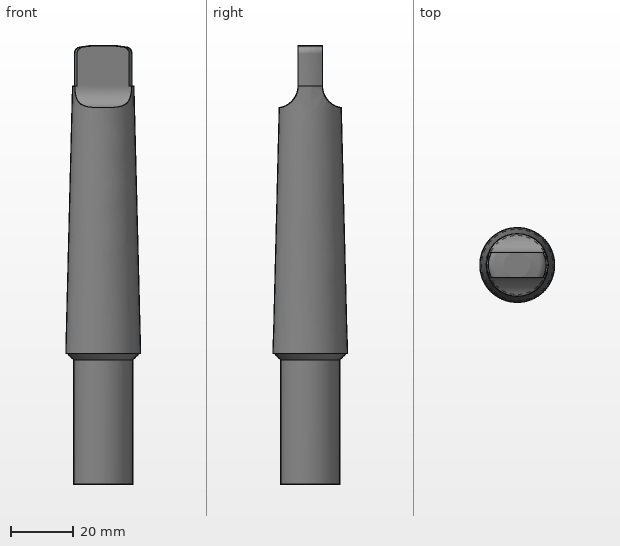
import cadquery as cq
import math

total_length = 141.0
taper_length = 99.0
tang_length = 13.0
neck_length = 2.0
taper_base_z = total_length - taper_length
neck_base_z = taper_base_z - neck_length
tang_base_z = total_length - tang_length

taper_ratio = 1 / 19.922
taper_base_radius = 24.1 / 2
taper_tip_radius = taper_base_radius - (tang_base_z - taper_base_z) * taper_ratio / 2

stub_radius = 19.0 / 2
neck_top_radius = stub_radius + neck_length

tang_radius = 18.5 / 2
tang_thickness = 7.9
tang_corner_radius = 2.0
tang_end_flat_radius = 4.2
tang_end_angle = 8.0
tang_end_drop = (tang_radius - tang_end_flat_radius) * math.tan(math.radians(tang_end_angle))
tang_rim_z = total_length - tang_end_drop
tang_flat_runout_radius = 7.0


def turned_body():
    """Stub, neck, taper and round tang blank as one revolved profile."""
    body = (
        cq.Workplane("XZ")
        .lineTo(stub_radius, 0)
        .lineTo(stub_radius, neck_base_z)
        .lineTo(neck_top_radius, taper_base_z)
        .lineTo(taper_base_radius, taper_base_z)
        .lineTo(taper_tip_radius, tang_base_z)
        .lineTo(tang_radius, tang_base_z)
        .lineTo(tang_radius, tang_rim_z)
        .lineTo(tang_end_flat_radius, total_length)
        .lineTo(0, total_length)
        .close()
        .revolve(360, (0, 0, 0), (0, 1, 0))
    )
    tang_rim = cq.selectors.NearestToPointSelector((0, 0, tang_rim_z))
    return body.edges(tang_rim).fillet(tang_corner_radius)


def tang_flat_cut(side):
    """Material removed beside the tang on one side along Y (side is +1 or -1)."""
    flat_y = side * tang_thickness / 2
    runout_y = flat_y + side * tang_flat_runout_radius
    runout_base_z = tang_base_z - tang_flat_runout_radius
    return (
        cq.Workplane("YZ")
        .moveTo(flat_y, total_length)
        .lineTo(flat_y, tang_base_z)
        .radiusArc((runout_y, runout_base_z), -side * tang_flat_runout_radius)
        .lineTo(runout_y, total_length)
        .close()
        .extrude(taper_base_radius, both=True)
    )


result = turned_body()
for side in (1, -1):
    result = result.cut(tang_flat_cut(side))